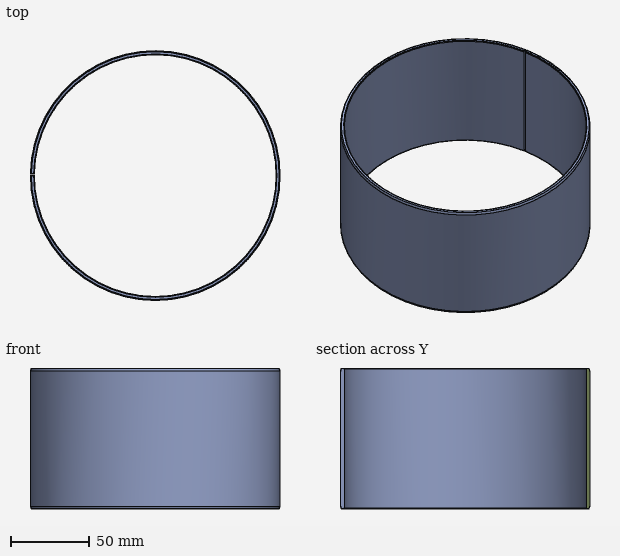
import cadquery as cq

outer_diameter = 160.0
wall_thickness = 2.5
height = 90.0
slit_width = 1.1
outer_bevel_height = 1.6
outer_bevel_depth = 0.6
inner_chamfer = 0.5

outer_radius = outer_diameter / 2
inner_radius = outer_radius - wall_thickness
half_height = height / 2


def bushing_body():
    """Thin sleeve with its end edges bevelled, centred on the origin."""
    wall_section = [
        (inner_radius, -half_height + inner_chamfer),
        (inner_radius + inner_chamfer, -half_height),
        (outer_radius - outer_bevel_depth, -half_height),
        (outer_radius, -half_height + outer_bevel_height),
        (outer_radius, half_height - outer_bevel_height),
        (outer_radius - outer_bevel_depth, half_height),
        (inner_radius + inner_chamfer, half_height),
        (inner_radius, half_height - inner_chamfer),
    ]
    return cq.Workplane("XZ").polyline(wall_section).close().revolve(360, (0, 0), (0, 1))


def slit_cutter():
    """Full-height block that splits the -X wall, with one face on the Y = 0 plane."""
    block = cq.Workplane("XY").box(outer_radius, slit_width, height)
    return block.translate((-outer_radius, slit_width / 2, 0))


result = bushing_body().cut(slit_cutter())